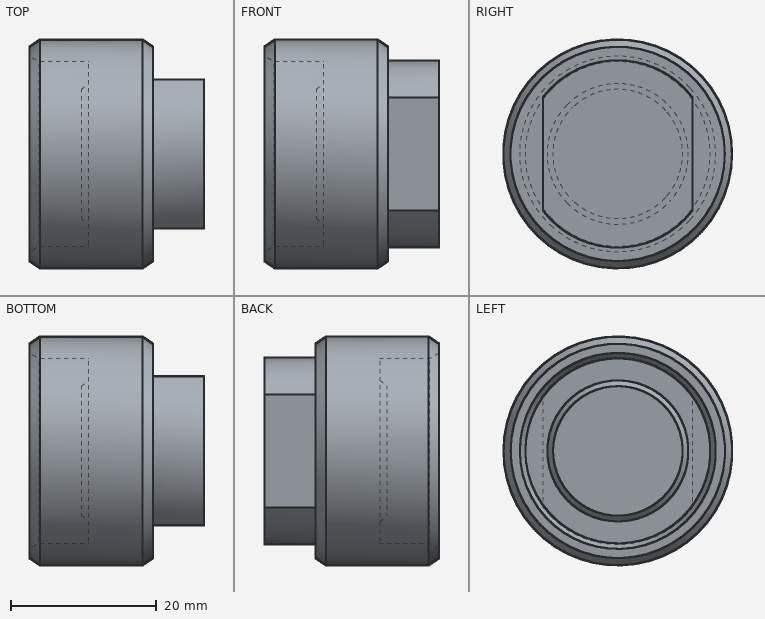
import cadquery as cq

outer_radius = 15.7
cap_length = 17.0
rim_chamfer_length = 1.48
rim_chamfer_depth = 1.0

bore_radius = 12.7
bore_mouth_radius = 13.45
bore_chamfer_length = 1.32
bore_depth = 8.1

disc_base_radius = 9.67
disc_face_radius = 8.9
disc_height = 0.9

shank_radius = 12.85
shank_length = 7.0
width_across_flats = 20.47


def make_cap():
    """Revolve the hollow cap, including its chamfers and the raised disc."""
    chamfer_radius = outer_radius - rim_chamfer_depth
    profile = [
        (bore_depth - disc_height, 0),
        (bore_depth - disc_height, disc_face_radius),
        (bore_depth, disc_base_radius),
        (bore_depth, bore_radius),
        (bore_chamfer_length, bore_radius),
        (0, bore_mouth_radius),
        (0, chamfer_radius),
        (rim_chamfer_length, outer_radius),
        (cap_length - rim_chamfer_length, outer_radius),
        (cap_length, chamfer_radius),
        (cap_length, 0),
    ]
    return cq.Workplane("XY").polyline(profile).close().revolve(360, (0, 0), (1, 0))


def make_shank():
    """Extrude the round shank and trim its sides to the flats."""
    end_face = cq.Workplane("YZ").workplane(offset=cap_length)
    cylinder = end_face.circle(shank_radius).extrude(shank_length)
    flats = end_face.rect(width_across_flats, 2 * shank_radius).extrude(shank_length)
    return cylinder.intersect(flats)


result = make_cap().union(make_shank())